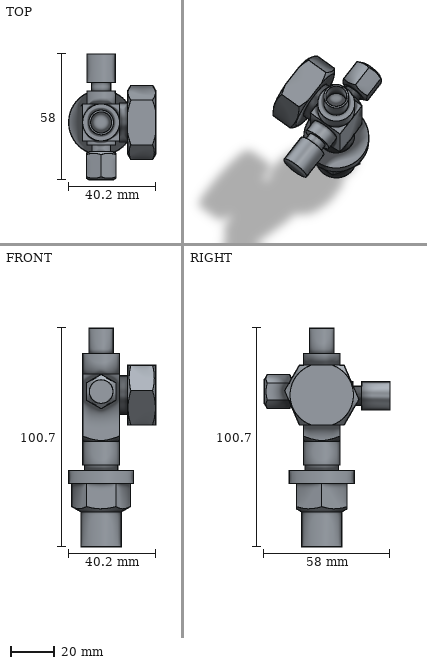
import cadquery as cq
import math

PIPE_DIA, PIPE_TOP = 18.6, 16.1
HEX_FLATS, HEX_TOP = 23.5, 29.1
FLANGE_DIA, FLANGE_TOP = 30.0, 35.2
NECK_DIA, NECK_TOP = 15.5, 37.7
BLOCK_WIDTH, BLOCK_BOTTOM, BLOCK_TOP = 17.0, 48.5, 79.7
COLLAR_TOP = 89.1
TUBE_DIA, TUBE_TOP = 11.4, 100.7
BORE_DIA = 9.7
BLOCK_END_RADIUS = 7.8

CHAMFER_ANGLE = 30.0

OUTLET_Z = 69.9
OUTLET_DIA = 17.9
NUT_START, NUT_END = 12.2, 25.2
NUT_CORNER_RADIUS = 17.2
NUT_HALF_HEIGHT = 13.8
NUT_CORNER_RISE = 2.0
NUT_FACE_RADIUS = 14.6

STEM_Z = 69.5
STEM_DIA, STEM_NECK_DIA = 13.2, 9.0
STEM_SHOULDER, STEM_NECK_END, STEM_END = 14.5, 18.3, 31.5

PORT_Z = 71.5
PORT_DIA, PORT_NECK_DIA = 13.2, 8.6
PORT_SHOULDER, CAP_START, CAP_END = 10.4, 13.4, 26.5
CAP_FLATS = 13.7
CAP_FACE_RADIUS = 5.4


def rod(diameter, start, end):
    """Cylinder on the Z axis between two heights."""
    return cq.Workplane("XY").workplane(offset=start).circle(diameter / 2).extrude(end - start)


def corner_radius(flats):
    """Corner radius of a regular hexagon from its width across flats."""
    return flats / math.sqrt(3)


def hexagon(flats, start, end):
    """Regular hexagonal prism on the Z axis with corners on the X axis."""
    outline = cq.Workplane("XY").workplane(offset=start).polygon(6, 2 * corner_radius(flats))
    return outline.extrude(end - start)


def corner_envelope(radius, start, end, start_radius=None, end_radius=None):
    """Turned blank whose coned ends trim the corners of a prism on the Z axis."""
    slope = math.tan(math.radians(CHAMFER_ANGLE))
    start_radius = start_radius or radius
    end_radius = end_radius or radius
    outline = [(0, start), (start_radius, start)]
    if start_radius < radius:
        outline.append((radius, start + (radius - start_radius) * slope))
    if end_radius < radius:
        outline.append((radius, end - (radius - end_radius) * slope))
    outline += [(end_radius, end), (0, end)]
    return cq.Workplane("XZ").polyline(outline).close().revolve(360, (0, 0), (0, 1))


def toward_plus_x(body, height):
    """Turn a body built up the Z axis to point along +X at the given height."""
    return body.rotate((0, 0, 0), (0, 1, 0), 90).translate((0, 0, height))


def toward_plus_y(body, height):
    """Turn a body built up the Z axis to point along +Y at the given height."""
    return body.rotate((0, 0, 0), (1, 0, 0), -90).translate((0, 0, height))


def toward_minus_y(body, height):
    """Turn a body built up the Z axis to point along -Y at the given height."""
    return body.rotate((0, 0, 0), (1, 0, 0), 90).translate((0, 0, height))


def lower_connection():
    """Bottom pipe, hexagon coned down to the pipe, round flange and short neck."""
    radius = corner_radius(HEX_FLATS)
    envelope = corner_envelope(radius, PIPE_TOP, HEX_TOP, start_radius=PIPE_DIA / 2)
    body = rod(PIPE_DIA, 0, PIPE_TOP)
    body = body.union(hexagon(HEX_FLATS, PIPE_TOP, HEX_TOP).intersect(envelope))
    body = body.union(rod(FLANGE_DIA, HEX_TOP, FLANGE_TOP))
    return body.union(rod(NECK_DIA, FLANGE_TOP, NECK_TOP))


def valve_block():
    """Square block with coned lower corners, between round sections of the same width."""
    corner = BLOCK_WIDTH / math.sqrt(2)
    block = cq.Workplane("XY").workplane(offset=BLOCK_BOTTOM).rect(BLOCK_WIDTH, BLOCK_WIDTH)
    block = block.extrude(BLOCK_TOP - BLOCK_BOTTOM)
    block = block.intersect(corner_envelope(corner, BLOCK_BOTTOM, BLOCK_TOP, start_radius=BLOCK_END_RADIUS))
    block = block.union(rod(BLOCK_WIDTH, NECK_TOP, BLOCK_BOTTOM))
    return block.union(rod(BLOCK_WIDTH, BLOCK_TOP, COLLAR_TOP))


def top_tube():
    """Top tube, bored down to the collar."""
    bore = rod(BORE_DIA, COLLAR_TOP, TUBE_TOP)
    return rod(TUBE_DIA, COLLAR_TOP, TUBE_TOP).cut(bore)


def union_nut():
    """Outlet neck and its uneven six-sided nut, which a half turn leaves unchanged."""
    side_y = math.sqrt(NUT_CORNER_RADIUS**2 - NUT_CORNER_RISE**2)
    level_y = math.sqrt(NUT_CORNER_RADIUS**2 - NUT_HALF_HEIGHT**2)
    half_turn = [(-side_y, NUT_CORNER_RISE), (-level_y, NUT_HALF_HEIGHT), (level_y, NUT_HALF_HEIGHT)]
    corners = half_turn + [(-y, -z) for y, z in half_turn]
    nut = cq.Workplane("YZ").workplane(offset=NUT_START).polyline(corners).close()
    nut = nut.extrude(NUT_END - NUT_START).translate((0, 0, OUTLET_Z))
    envelope = corner_envelope(NUT_CORNER_RADIUS, NUT_START, NUT_END, NUT_FACE_RADIUS, NUT_FACE_RADIUS)
    nut = nut.intersect(toward_plus_x(envelope, OUTLET_Z))
    return nut.union(toward_plus_x(rod(OUTLET_DIA, BLOCK_WIDTH / 2, NUT_START), OUTLET_Z))


def rear_stem():
    """Round stem narrowed by a neck partway along."""
    stem = rod(STEM_DIA, 0, STEM_SHOULDER)
    stem = stem.union(rod(STEM_NECK_DIA, STEM_SHOULDER, STEM_NECK_END))
    stem = stem.union(rod(STEM_DIA, STEM_NECK_END, STEM_END))
    return toward_plus_y(stem, STEM_Z)


def capped_port():
    """Shouldered port closed by a hexagonal cap with corners up and down."""
    radius = corner_radius(CAP_FLATS)
    envelope = corner_envelope(radius, CAP_START, CAP_END, CAP_FACE_RADIUS, CAP_FACE_RADIUS)
    cap = hexagon(CAP_FLATS, CAP_START, CAP_END).rotate((0, 0, 0), (0, 0, 1), 90).intersect(envelope)
    port = rod(PORT_DIA, 0, PORT_SHOULDER)
    port = port.union(rod(PORT_NECK_DIA, PORT_SHOULDER, CAP_START))
    return toward_minus_y(port.union(cap), PORT_Z)


result = lower_connection().union(valve_block()).union(top_tube())
for branch in (union_nut(), rear_stem(), capped_port()):
    result = result.union(branch)